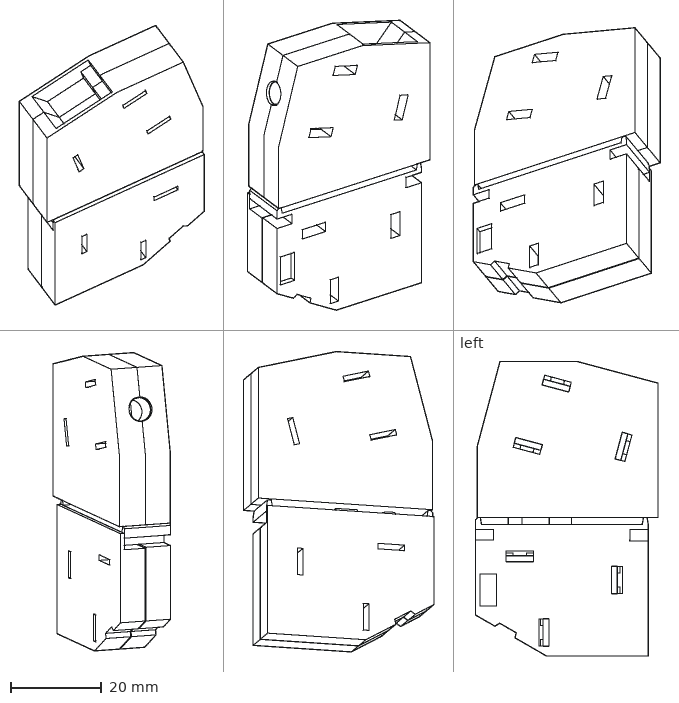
import cadquery as cq
import math

upper_depth = 40.0
upper_thickness = 12.1
upper_bottom = 30.57
upper_top = 65.1
upper_seam = 5.95
upper_slope_angle = 15.0
front_slope_run = 17.88
rear_slope_run = 5.05

lower_front = 2.15
lower_rear = 40.36
lower_left = 0.1
lower_right = 12.0
lower_left_seam = 5.95
lower_right_seam = 6.15
lower_top = 29.06

cover_right = 11.1
cover_bottom = 25.6
cover_clearance = 0.2

foot_start = 24.7
foot_angle = 30.0
foot_notch_near = 31.65
foot_notch_far = 36.05
foot_notch_depth = 1.1
foot_notch_near_taper = 0.28
foot_notch_far_taper = 0.48

front_lip_taper = 0.25
front_lip_width = 0.86
lip_inner_taper = 0.27
rear_lip_top = 39.9
rear_lip_inner = 39.25
rear_bevel = 0.46

notch_top = 28.0
front_notch_depth = 4.1
rear_notch_depth = 3.96

spigot_x = 6.0
pin_diameter = 3.1
pin_y = 31.6
key_y = 21.6
key_length = 5.0
key_thickness = 3.0

side_pocket_y = (35.75, 39.4)
side_pocket_z = (11.0, 18.1)
side_pocket_depth = 1.3

pocket_wall = 0.8
pocket_start = 2.9
pocket_end = 17.8
pocket_depth = 5.15
pocket_floor_start = 5.6
pocket_step = 15.2
pocket_step_depth = 2.4

cable_diameter = 5.4
cable_rim_depth = 0.75
cable_bore_diameter = 5.2
cable_y = 37.35
cable_depth = 6.0

slot_length = 6.05
slot_gap = 1.25
slot_tab = 3.0
cut_margin = 1.0
ledge_depth = 4.0
ramp_angle = 57.0
upper_ledge = 0.95
lower_ramp = 0.65

upper_slots = [
    (22.4, 60.2, upper_slope_angle, upper_ledge, upper_ledge),
    (28.8, 46.4, upper_slope_angle + 180, upper_ledge, upper_ledge),
    (7.62, 46.2, upper_slope_angle + 90, upper_ledge, upper_ledge),
]
lower_slots = [
    (30.57, 22.05, 0, 1.12, lower_ramp),
    (9.1, 16.8, 90, 1.12, lower_ramp),
    (25.2, 5.2, -90, 0.9, lower_ramp),
]


def plate(points, x_start, x_end):
    """Outline in the YZ plane, extruded between two X positions."""
    return cq.Workplane("YZ", origin=(x_start, 0, 0)).polyline(points).close().extrude(x_end - x_start)


def block(x_range, y_range, z_range):
    """Box between limits along X, Y and Z."""
    corners = [(y_range[0], z_range[0]), (y_range[1], z_range[0]),
               (y_range[1], z_range[1]), (y_range[0], z_range[1])]
    return plate(corners, *x_range)


def clip_slot(y, z, turn, ledge, ramp):
    """Cutter for a through slot with a ledge along one long side; the ledge ends are ramped."""
    half_width = (slot_gap + ledge) / 2
    half_length = slot_length / 2
    ledge_edge = half_width - ledge
    ramp_drop = ramp * math.tan(math.radians(ramp_angle))
    through = (-cut_margin, upper_thickness + cut_margin)
    ends = (-half_length, half_length)
    window = block(through, ends, (-half_width, ledge_edge))
    recess = block((-cut_margin, ledge_depth), ends, (ledge_edge, half_width))
    ramp_profile = [
        (ledge_depth, ledge_edge),
        (ledge_depth + ramp_drop, ledge_edge),
        (ledge_depth, ledge_edge + ramp),
    ]
    ramps = (
        cq.Workplane("XZ", origin=(0, half_length, 0))
        .polyline(ramp_profile).close().extrude(slot_length)
        .cut(block(through, (-slot_tab / 2, slot_tab / 2), (-half_width, half_width)))
    )
    cutter = window.union(recess).union(ramps)
    return cutter.rotate((0, 0, 0), (1, 0, 0), turn).translate((0, y, z))


slope_tan = math.tan(math.radians(upper_slope_angle))
slope_sin = math.sin(math.radians(upper_slope_angle))
slope_cos = math.cos(math.radians(upper_slope_angle))
front_slope_bottom = upper_top - front_slope_run * slope_tan
rear_slope_bottom = upper_top - rear_slope_run / slope_tan


def on_front_slope(along, depth):
    """YZ point at a distance up the front slope and a depth square to it."""
    return (along * slope_cos + depth * slope_sin,
            front_slope_bottom + along * slope_sin - depth * slope_cos)


def front_pocket():
    """Stepped pocket sunk square to the front slope, with an inclined lower end."""
    outline = [
        on_front_slope(pocket_start, 0),
        on_front_slope(pocket_floor_start, pocket_depth),
        on_front_slope(pocket_step, pocket_depth),
        on_front_slope(pocket_step, pocket_step_depth),
        on_front_slope(pocket_end, pocket_step_depth),
        on_front_slope(pocket_end, 0),
    ]
    return plate(outline, pocket_wall, upper_thickness - pocket_wall)


def cable_entry():
    """Round blind hole square to the rear slope, with a slightly wider rim."""
    entry_z = upper_top - (cable_y - (upper_depth - rear_slope_run)) / slope_tan
    inward = cq.Vector(0, -slope_cos, -slope_sin)
    centre = cq.Vector(upper_thickness / 2, cable_y, entry_z)
    rim = cq.Solid.makeCylinder(cable_diameter / 2, cable_rim_depth, centre, inward)
    bore = cq.Solid.makeCylinder(cable_bore_diameter / 2, cable_depth, centre, inward)
    return cq.Workplane(rim).union(cq.Workplane(bore))


def upper_half(x_start, x_end):
    """One half of the upper case between two X positions."""
    outline = [
        (0, upper_bottom),
        (upper_depth, upper_bottom),
        (upper_depth, rear_slope_bottom),
        (upper_depth - rear_slope_run, upper_top),
        (front_slope_run, upper_top),
        (0, front_slope_bottom),
    ]
    half = plate(outline, x_start, x_end)
    half = half.cut(front_pocket()).cut(cable_entry())
    for slot in upper_slots:
        half = half.cut(clip_slot(*slot))
    return half


foot_tan = math.tan(math.radians(foot_angle))
foot_cos = math.cos(math.radians(foot_angle))
foot_sin = math.sin(math.radians(foot_angle))


def foot_point(y, depth=0):
    """YZ point on the sloped foot edge, moved square into the case by a depth."""
    return (y - depth * foot_sin, (y - foot_start) * foot_tan + depth * foot_cos)


def lower_plate(x_start, x_end, top):
    """Lower case outline with the notched foot edge, up to a flat top."""
    outline = [
        (lower_front, 0),
        (foot_start, 0),
        foot_point(foot_notch_near),
        foot_point(foot_notch_near + foot_notch_near_taper, foot_notch_depth),
        foot_point(foot_notch_far - foot_notch_far_taper, foot_notch_depth),
        foot_point(foot_notch_far),
        foot_point(lower_rear),
        (lower_rear, top),
        (lower_front, top),
    ]
    return plate(outline, x_start, x_end)


def lips():
    """Tapered lips at both ends of the cover, reaching up to the upper case."""
    front_lip_top = lower_front + front_lip_taper
    front_inner = front_lip_top + front_lip_width
    front = [
        (lower_front, lower_top),
        (front_inner + lip_inner_taper, lower_top),
        (front_inner, upper_bottom),
        (front_lip_top, upper_bottom),
    ]
    rear = [
        (lower_rear, lower_top),
        (lower_rear, upper_bottom - rear_bevel),
        (rear_lip_top, upper_bottom),
        (rear_lip_inner, upper_bottom),
        (rear_lip_inner - lip_inner_taper, lower_top),
    ]
    return plate(front, lower_left, cover_right).union(plate(rear, lower_left, cover_right))


def end_notches():
    """Recesses under the lips, open to the left side and to the ends."""
    notch_x = (lower_left, cover_right)
    front_z = (cover_bottom - cover_clearance, notch_top)
    rear_z = (cover_bottom, notch_top)
    front = block(notch_x, (lower_front, lower_front + front_notch_depth), front_z)
    rear = block(notch_x, (lower_rear - rear_notch_depth, lower_rear), rear_z)
    return front.union(rear)


def spigots():
    """Round pin and flat key standing on the cover."""
    height = upper_bottom - lower_top
    base = cq.Workplane("XY", origin=(spigot_x, 0, lower_top))
    pin = base.center(0, pin_y).circle(pin_diameter / 2).extrude(height)
    key = base.center(0, key_y).rect(key_thickness, key_length).extrude(height)
    return pin.union(key)


def lower_left_case():
    """Left half with the cover that reaches over the right half."""
    cover = block((lower_left, cover_right), (lower_front, lower_rear), (cover_bottom, lower_top))
    case = lower_plate(lower_left, lower_left_seam, lower_top).union(cover).union(lips())
    case = case.cut(end_notches()).union(spigots())
    case = case.cut(block((lower_left, lower_left + side_pocket_depth), side_pocket_y, side_pocket_z))
    for slot in lower_slots:
        case = case.cut(clip_slot(*slot))
    return case


def lower_right_case():
    """Right half, cut down under the cover and left full height outside it."""
    under_cover = lower_plate(lower_right_seam, cover_right, cover_bottom - cover_clearance)
    case = under_cover.union(lower_plate(cover_right, lower_right, lower_top))
    for slot in lower_slots:
        case = case.cut(clip_slot(*slot))
    return case


upper_left_half = upper_half(0, upper_seam)
upper_right_half = upper_half(upper_seam, upper_thickness)
lower_left_half = lower_left_case()
lower_right_half = lower_right_case()

result = cq.Compound.makeCompound([
    upper_left_half.val(),
    upper_right_half.val(),
    lower_left_half.val(),
    lower_right_half.val(),
])